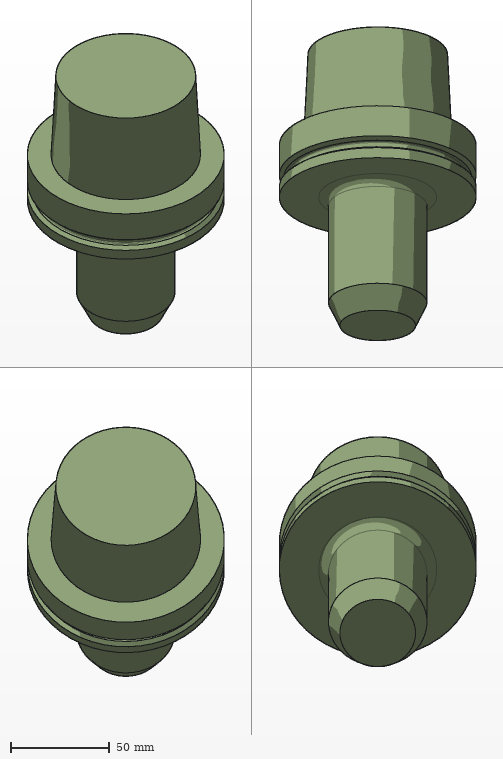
import cadquery as cq
import math

total_height = 150.0
taper_height = 50.1
collar_height = 28.8
upper_rim_height = 16.6
lower_rim_height = 5.5
tip_height = 12.5

collar_radius = 100.0 / 2
groove_radius = 92.0 / 2
shank_radius = collar_radius / 2
taper_base_radius = 38.0
taper_top_radius = 35.5

rim_chamfer_width = 2.2
rim_chamfer_height = 1.5
groove_fillet = 0.5
shank_fillet = 5.0
tip_angle = 25.0

collar_top = total_height - taper_height
collar_bottom = collar_top - collar_height
upper_rim_bottom = collar_top - upper_rim_height
lower_rim_top = collar_bottom + lower_rim_height
groove_top = upper_rim_bottom - rim_chamfer_height
groove_bottom = lower_rim_top + rim_chamfer_height
groove_mouth_radius = collar_radius - rim_chamfer_width
tip_radius = shank_radius - tip_height * math.tan(math.radians(tip_angle))

arc_inset = 1 - math.sqrt(0.5)
shank_inset = shank_fillet * arc_inset
groove_inset = groove_fillet * arc_inset
shank_arc_middle = (shank_radius + shank_inset, collar_bottom - shank_inset)
lower_arc_middle = (groove_radius + groove_inset, groove_bottom + groove_inset)
upper_arc_middle = (groove_radius + groove_inset, groove_top - groove_inset)

profile = (
    cq.Workplane("XZ")
    .moveTo(0, 0)
    .lineTo(tip_radius, 0)
    .lineTo(shank_radius, tip_height)
    .lineTo(shank_radius, collar_bottom - shank_fillet)
    .threePointArc(shank_arc_middle, (shank_radius + shank_fillet, collar_bottom))
    .lineTo(collar_radius, collar_bottom)
    .lineTo(collar_radius, lower_rim_top)
    .lineTo(groove_mouth_radius, groove_bottom)
    .lineTo(groove_radius + groove_fillet, groove_bottom)
    .threePointArc(lower_arc_middle, (groove_radius, groove_bottom + groove_fillet))
    .lineTo(groove_radius, groove_top - groove_fillet)
    .threePointArc(upper_arc_middle, (groove_radius + groove_fillet, groove_top))
    .lineTo(groove_mouth_radius, groove_top)
    .lineTo(collar_radius, upper_rim_bottom)
    .lineTo(collar_radius, collar_top)
    .lineTo(taper_base_radius, collar_top)
    .lineTo(taper_top_radius, total_height)
    .lineTo(0, total_height)
    .close()
)

result = profile.revolve(360, (0, 0, 0), (0, 1, 0))